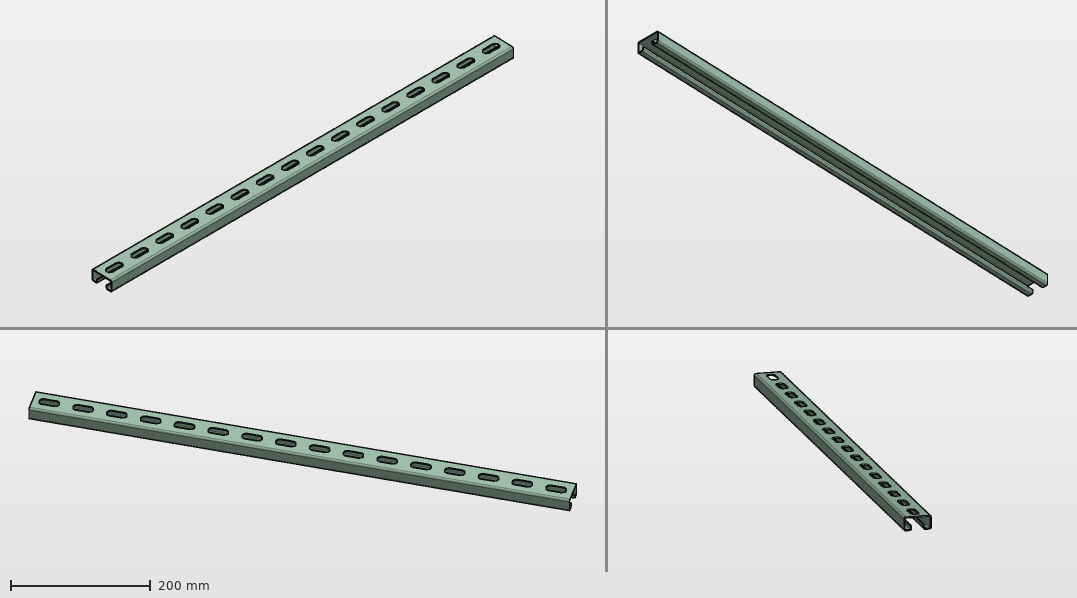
import cadquery as cq

LENGTH = 800.0
WIDTH = 41.0
HEIGHT = 21.0
SHEET = 2.0
INNER_BEND_RADIUS = SHEET / 2
OUTER_BEND_RADIUS = INNER_BEND_RADIUS + SHEET
MOUTH_WIDTH = 18.0
LIP_STRAIGHT = 4.0
LIP_HEIGHT = OUTER_BEND_RADIUS + LIP_STRAIGHT

SLOT_COUNT = 16
SLOT_PITCH = LENGTH / SLOT_COUNT
SLOT_BRIDGE = 20.0
SLOT_LENGTH = SLOT_PITCH - SLOT_BRIDGE
SLOT_WIDTH = 13.0


def rounded_bar(width, height, corner_radius):
    """Full-length bar centred on the origin, with its long edges rounded."""
    return cq.Workplane("XY").box(width, LENGTH, height).edges("|Y").fillet(corner_radius)


def bent_tube(width, height):
    """Full-length closed tube of bent sheet, centred on the origin."""
    outside = rounded_bar(width, height, OUTER_BEND_RADIUS)
    inside = rounded_bar(width - 2 * SHEET, height - 2 * SHEET, INNER_BEND_RADIUS)
    return outside.cut(inside)


def lip_zone():
    """Block that spans the channel from its underside up to the lip tips."""
    return cq.Workplane("XY").box(WIDTH, LENGTH, LIP_HEIGHT).translate((0, 0, (LIP_HEIGHT - HEIGHT) / 2))


def channel():
    """Web and sides above the lip tips, with a U-shaped fold below each side."""
    body = bent_tube(WIDTH, HEIGHT).cut(lip_zone())

    fold_width = (WIDTH - MOUTH_WIDTH) / 2
    fold_offset = (MOUTH_WIDTH + fold_width) / 2
    fold = bent_tube(fold_width, HEIGHT).intersect(lip_zone())
    for side in (-1, 1):
        body = body.union(fold.translate((side * fold_offset, 0, 0)))
    return body.clean()


def web_slots():
    """Cutters for the evenly spaced round-ended slots, from mid-height up through the web."""
    return (
        cq.Workplane("XY")
        .rarray(WIDTH, SLOT_PITCH, 1, SLOT_COUNT)
        .slot2D(SLOT_LENGTH, SLOT_WIDTH, angle=90)
        .extrude(HEIGHT)
    )


result = channel().cut(web_slots())